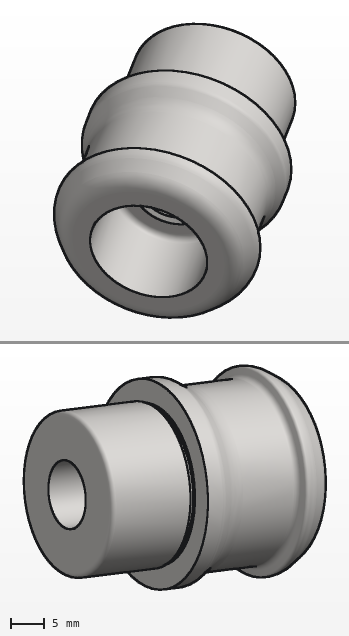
import cadquery as cq
import math

LENGTH = 37.5

RIM_RADIUS = 31.6 / 2
RIM_BACK_Y = 5.35
NOSE_CORNER_RADIUS = 13.42
NOSE_ROUND = 3.0
RIM_FRONT_ROUND = 3.22
RIM_BACK_ROUND = 0.5
NECK_FRONT_ROUND = 1.0

NECK_RADIUS = 28.0 / 2
NECK_BACK_Y = 16.75
NECK_BACK_ROUND = 5.0
FLANGE_RADIUS = 31.5 / 2
FLANGE_ROUND = 1.5
FLANGE_BACK_Y = 22.75

SPIGOT_RADIUS = 25.0 / 2
SPIGOT_START_Y = 23.78
SPIGOT_END_ROUND = 0.75
GROOVE_RADIUS = 12.2
GROOVE_END_Y = 23.1

SOCKET_RADIUS = 18.0 / 2
SOCKET_DEPTH = 13.0
SOCKET_FLOOR_ROUND = 1.0
HOLE_RADIUS = 10.3 / 2
HOLE_CHAMFER_WIDTH = 0.85
HOLE_CHAMFER_DEPTH = 0.5

CONE_SLOPE = math.tan(math.radians(30))
RIM_BACK_SLOPE = math.tan(math.radians(20))


def rounded_outline(corners):
    """Closed wire through (radius, y, rounding) corners, with tangent arcs at rounded ones."""
    stretches = []
    for i, (r, y, rounding) in enumerate(corners):
        corner = cq.Vector(r, y)
        if rounding == 0:
            stretches.append([corner])
            continue
        before = cq.Vector(*corners[i - 1][:2])
        after = cq.Vector(*corners[(i + 1) % len(corners)][:2])
        back = (before - corner).normalized()
        ahead = (after - corner).normalized()
        half_angle = back.getAngle(ahead) / 2
        tangent_length = rounding / math.tan(half_angle)
        apex_distance = rounding / math.sin(half_angle) - rounding
        start = corner + back * tangent_length
        middle = corner + (back + ahead).normalized() * apex_distance
        end = corner + ahead * tangent_length
        stretches.append([start, middle, end])

    outline = cq.Workplane("XY").moveTo(*stretches[0][0].toTuple()[:2])
    for stretch in stretches[1:]:
        outline = outline.lineTo(*stretch[0].toTuple()[:2])
        if len(stretch) > 1:
            outline = outline.threePointArc(*[point.toTuple()[:2] for point in stretch[1:]])
    return outline.close()


rim_front_y = (RIM_RADIUS - NOSE_CORNER_RADIUS) / CONE_SLOPE
neck_front_y = RIM_BACK_Y + (RIM_RADIUS - NECK_RADIUS) * RIM_BACK_SLOPE
flange_front_y = NECK_BACK_Y + (FLANGE_RADIUS - NECK_RADIUS) / CONE_SLOPE

half_section = [
    (SOCKET_RADIUS, 0, 0),
    (NOSE_CORNER_RADIUS, 0, NOSE_ROUND),
    (RIM_RADIUS, rim_front_y, RIM_FRONT_ROUND),
    (RIM_RADIUS, RIM_BACK_Y, RIM_BACK_ROUND),
    (NECK_RADIUS, neck_front_y, NECK_FRONT_ROUND),
    (NECK_RADIUS, NECK_BACK_Y, NECK_BACK_ROUND),
    (FLANGE_RADIUS, flange_front_y, FLANGE_ROUND),
    (FLANGE_RADIUS, FLANGE_BACK_Y, 0),
    (GROOVE_RADIUS, FLANGE_BACK_Y, 0),
    (GROOVE_RADIUS, GROOVE_END_Y, 0),
    (SPIGOT_RADIUS, SPIGOT_START_Y, 0),
    (SPIGOT_RADIUS, LENGTH, SPIGOT_END_ROUND),
    (HOLE_RADIUS, LENGTH, 0),
    (HOLE_RADIUS, SOCKET_DEPTH + HOLE_CHAMFER_DEPTH, 0),
    (HOLE_RADIUS + HOLE_CHAMFER_WIDTH, SOCKET_DEPTH, 0),
    (SOCKET_RADIUS, SOCKET_DEPTH, SOCKET_FLOOR_ROUND),
]

sleeve = rounded_outline(half_section).revolve(360, (0, 0, 0), (0, 1, 0))
result = sleeve.translate((0, -LENGTH / 2, 0))